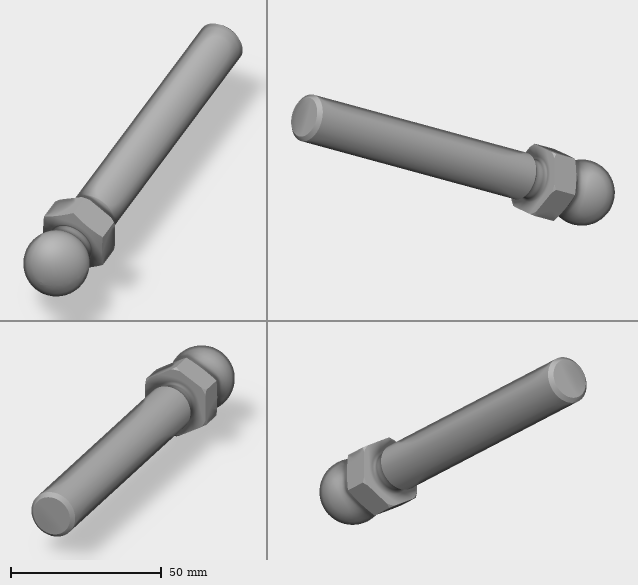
import cadquery as cq
import math

LENGTH = 132.0

BALL_DIAMETER = 22.0
TIP_FLAT_DIAMETER = 1.3
NECK_DIAMETER = 15.0

HEX_CORNER_DIAMETER = 25.3
HEX_FRONT = 21.7
HEX_THICKNESS = 10.5
FRONT_CONE_DIAMETER = 15.8
FRONT_CONE_DEPTH = 1.6
BACK_CHAMFER = 0.8

SHANK_DIAMETER = 16.0
SHANK_START = 37.6
SHANK_END_CHAMFER = 1.3
UNDERCUT_DIAMETER = 13.2
UNDERCUT_FILLET = 1.0

ball_radius = BALL_DIAMETER / 2
tip_radius = TIP_FLAT_DIAMETER / 2
neck_radius = NECK_DIAMETER / 2
hex_radius = HEX_CORNER_DIAMETER / 2
shank_radius = SHANK_DIAMETER / 2
undercut_radius = UNDERCUT_DIAMETER / 2
hex_back = HEX_FRONT + HEX_THICKNESS

ball_center = math.sqrt(ball_radius**2 - tip_radius**2)
ball_end = ball_center + math.sqrt(ball_radius**2 - neck_radius**2)


def revolve_about_y(profile):
    """Turn a closed (radius, Y) profile around the Y axis."""
    return profile.close().revolve(360, (0, 0), (0, 1))


def make_ball_and_neck():
    return revolve_about_y(
        cq.Workplane("XY")
        .lineTo(tip_radius, 0)
        .threePointArc((ball_radius, ball_center), (neck_radius, ball_end))
        .lineTo(neck_radius, HEX_FRONT)
        .lineTo(0, HEX_FRONT)
    )


def make_hexagon():
    """Hexagon with corners on +Z and -Z, turned to a shallow cone in front and chamfered behind."""
    prism = (
        cq.Workplane("XZ", origin=(0, HEX_FRONT, 0))
        .polygon(6, HEX_CORNER_DIAMETER)
        .extrude(-HEX_THICKNESS)
        .rotate((0, 0, 0), (0, 1, 0), 30)
    )
    turned_envelope = revolve_about_y(
        cq.Workplane("XY")
        .moveTo(0, HEX_FRONT)
        .lineTo(FRONT_CONE_DIAMETER / 2, HEX_FRONT)
        .lineTo(hex_radius, HEX_FRONT + FRONT_CONE_DEPTH)
        .lineTo(hex_radius, hex_back - BACK_CHAMFER)
        .lineTo(hex_radius - BACK_CHAMFER, hex_back)
        .lineTo(0, hex_back)
    )
    return prism.intersect(turned_envelope)


def make_shank():
    """Shank with a filleted undercut next to the hexagon and 45 degree chamfers at both ends."""
    undercut_end = SHANK_START - (shank_radius - undercut_radius)
    fillet_offset = UNDERCUT_FILLET * (1 - math.sqrt(0.5))
    return revolve_about_y(
        cq.Workplane("XY")
        .moveTo(0, hex_back)
        .lineTo(undercut_radius + UNDERCUT_FILLET, hex_back)
        .threePointArc(
            (undercut_radius + fillet_offset, hex_back + fillet_offset),
            (undercut_radius, hex_back + UNDERCUT_FILLET),
        )
        .lineTo(undercut_radius, undercut_end)
        .lineTo(shank_radius, SHANK_START)
        .lineTo(shank_radius, LENGTH - SHANK_END_CHAMFER)
        .lineTo(shank_radius - SHANK_END_CHAMFER, LENGTH)
        .lineTo(0, LENGTH)
    )


result = make_ball_and_neck().union(make_hexagon()).union(make_shank())